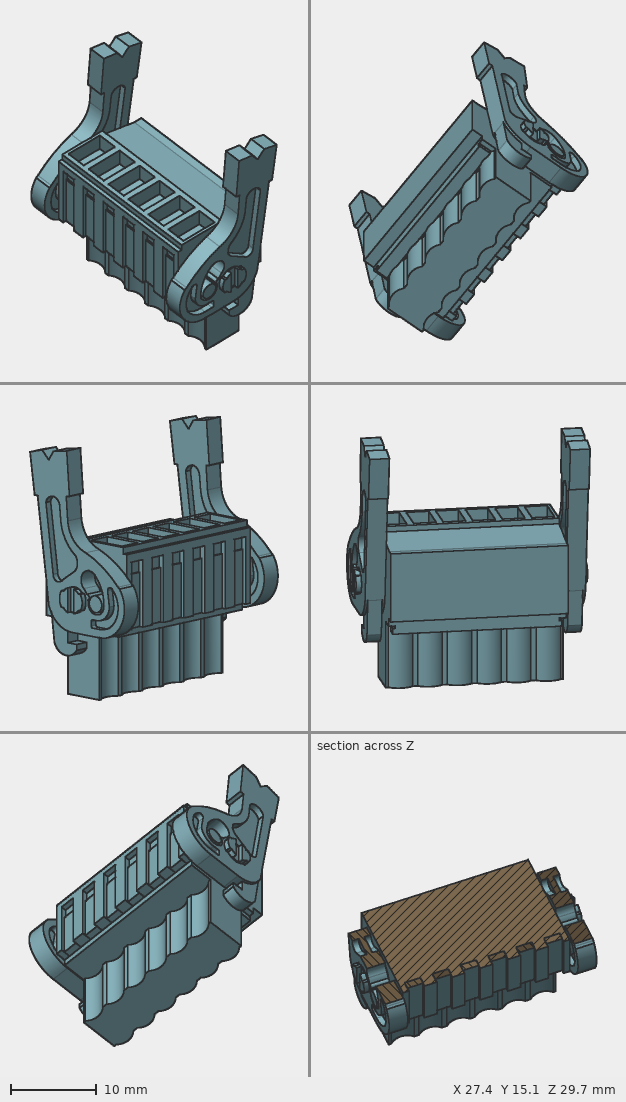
import cadquery as cq
import math


POLES = 6
PITCH = 3.5
POLE_CENTRES = [(i - (POLES - 1) / 2) * PITCH for i in range(POLES)]

WIDTH = POLES * PITCH
HALF_WIDTH = WIDTH / 2
FRONT_Y = -5.94
BACK_Y = 6.94
TOP_Z = 6.64
FRONT_STEP_Y = -5.39
FRONT_STEP_Z = 5.87
RIDGE_Y = 0.88
ROOF_TOP_Z = 5.97
EAVES_Y = 5.85
EAVES_Z = 4.99
SKIRT_DEPTH = 1.31
SKIRT_Y = FRONT_Y + SKIRT_DEPTH
SKIRT_Z = -3.17
BOTTOM_Z = -4.15
BACK_NOTCH_Y = 5.5
BACK_NOTCH_Z = -3.24

RAIL_FRONT_Y = 3.96
RAIL_BOTTOM_Z = -5.13
RAIL_NECK_Z = -4.44
RAIL_INSET = 0.5
RAIL_NECK_INSET = 0.8

PLUG_FRONT_Y = -1.54
PLUG_BACK_Y = 3.5
PLUG_BOTTOM_Z = -12.1
FLUTE_RADIUS = 2.1
FLUTE_CHORD = 2.88
FLUTE_DEPTH = FLUTE_RADIUS - math.sqrt(FLUTE_RADIUS**2 - (FLUTE_CHORD / 2) ** 2)

POCKET_WIDTH = 2.67
POCKET_BACK_Y = 0.1
POCKET_FRONT_Y = -4.75
POCKET_DEPTH = 2.1

SLOT_WIDTH = 1.9
SLOT_TOP_Z = 4.85
WINDOW_DEPTH = 0.65
INSERT_TOP_Z = 3.3
INSERT_RECESS = 0.45

LEVER_INNER_X = 10.7
LEVER_OUTER_X = 13.05
LEVER_THICKNESS = LEVER_OUTER_X - LEVER_INNER_X
FOOT_THICKNESS = 1.7
NOSE_RADIUS = 3.93
NOSE_Y = -4.03
NOSE_TOP_Z = 2.35
HEEL_Y = 0.4
HEEL_ANGLE = 71
FOOT_FRONT_Y = 1.44
HOOK_TIP_Y = 0
HOOK_Z = -5.35
RECESS_DEPTH = 0.8

PIVOT_RADIUS = 1.55
PIVOT_LIP_RADIUS = 1.81
PIVOT_LIP_HALF_HEIGHT = 0.99
PIVOT_END_X = 13.7
PIVOT_SLIT = 1.0
PIN_RADIUS = 1.0
PIN_Y = -3.42
PIN_END_X = 13.15

GUIDE_HALF_WIDTH = 1.27
GUIDE_ANGLE = 48
SNAP_RADIUS = 0.35
SNAP_ANGLE = 17
SNAP_CENTRE = 2.07


def box(x_range, y_range, z_range):
    """A box between two limits on each axis."""
    (x0, x1), (y0, y1), (z0, z1) = x_range, y_range, z_range
    return cq.Workplane("XY").box(x1 - x0, y1 - y0, z1 - z0, centered=False).translate((x0, y0, z0))


def cylinder_x(y, z, radius, x0, x1):
    """A cylinder along X."""
    return cq.Workplane("YZ", origin=(x0, 0, 0)).center(y, z).circle(radius).extrude(x1 - x0)


def on_pivot_circle(radius, angle):
    """A point (Y, Z) around the pivot, the angle measured up from the front."""
    a = math.radians(angle)
    return -radius * math.cos(a), radius * math.sin(a)


def make_block():
    profile = [
        (FRONT_Y, SKIRT_Z),
        (FRONT_Y, FRONT_STEP_Z),
        (FRONT_STEP_Y, FRONT_STEP_Z),
        (FRONT_STEP_Y, TOP_Z),
        (RIDGE_Y, TOP_Z),
        (RIDGE_Y, ROOF_TOP_Z),
        (EAVES_Y, EAVES_Z),
        (BACK_Y, EAVES_Z),
        (BACK_Y, BACK_NOTCH_Z),
        (BACK_NOTCH_Y, BACK_NOTCH_Z),
        (BACK_NOTCH_Y, BOTTOM_Z),
        (SKIRT_Y, BOTTOM_Z),
        (SKIRT_Y, SKIRT_Z),
    ]
    return cq.Workplane("YZ", origin=(-HALF_WIDTH, 0, 0)).polyline(profile).close().extrude(WIDTH)


def make_latch_rail():
    neck_x = HALF_WIDTH - RAIL_NECK_INSET
    rail_x = HALF_WIDTH - RAIL_INSET
    y_range = (RAIL_FRONT_Y, BACK_NOTCH_Y)
    neck = box((-neck_x, neck_x), y_range, (RAIL_NECK_Z, BOTTOM_Z))
    rail = box((-rail_x, rail_x), y_range, (RAIL_BOTTOM_Z, RAIL_NECK_Z))
    return neck.union(rail)


def make_plug():
    """Plug section with concave flutes in front and matching convex ribs behind."""
    outline = cq.Workplane("XY", origin=(0, 0, PLUG_BOTTOM_Z)).moveTo(-HALF_WIDTH, PLUG_FRONT_Y)
    for x in POLE_CENTRES:
        outline = outline.lineTo(x - FLUTE_CHORD / 2, PLUG_FRONT_Y).threePointArc(
            (x, PLUG_FRONT_Y + FLUTE_DEPTH), (x + FLUTE_CHORD / 2, PLUG_FRONT_Y)
        )
    outline = outline.lineTo(HALF_WIDTH, PLUG_FRONT_Y).lineTo(HALF_WIDTH, PLUG_BACK_Y)
    for x in reversed(POLE_CENTRES):
        outline = outline.lineTo(x + FLUTE_CHORD / 2, PLUG_BACK_Y).threePointArc(
            (x, PLUG_BACK_Y + FLUTE_DEPTH), (x - FLUTE_CHORD / 2, PLUG_BACK_Y)
        )
    outline = outline.lineTo(-HALF_WIDTH, PLUG_BACK_Y).close()
    return outline.extrude(BOTTOM_Z - PLUG_BOTTOM_Z)


def make_pole_cuts(x):
    """Wire pocket, front window and insert seat of one pole."""
    pocket_x = (x - POCKET_WIDTH / 2, x + POCKET_WIDTH / 2)
    slot_x = (x - SLOT_WIDTH / 2, x + SLOT_WIDTH / 2)
    pocket = box(pocket_x, (POCKET_FRONT_Y, POCKET_BACK_Y), (TOP_Z - POCKET_DEPTH, TOP_Z))
    window = box(slot_x, (FRONT_Y, FRONT_Y + WINDOW_DEPTH), (INSERT_TOP_Z, SLOT_TOP_Z))
    seat = box(slot_x, (FRONT_Y, SKIRT_Y), (SKIRT_Z, INSERT_TOP_Z))
    return [pocket, window, seat]


def make_pivot():
    """Split pivot stub with side lips beyond the lever, on the +X end."""
    stub = cylinder_x(0, 0, PIVOT_RADIUS, HALF_WIDTH, PIVOT_END_X)
    lip_band = box(
        (LEVER_OUTER_X, PIVOT_END_X),
        (-PIVOT_LIP_RADIUS, PIVOT_LIP_RADIUS),
        (-PIVOT_LIP_HALF_HEIGHT, PIVOT_LIP_HALF_HEIGHT),
    )
    lips = cylinder_x(0, 0, PIVOT_LIP_RADIUS, LEVER_OUTER_X, PIVOT_END_X).intersect(lip_band)
    slit = box(
        (PIN_END_X, PIVOT_END_X),
        (-PIVOT_SLIT / 2, PIVOT_SLIT / 2),
        (-PIVOT_LIP_RADIUS, PIVOT_LIP_RADIUS),
    )
    return stub.union(lips).cut(slit)


def make_housing():
    body = make_block().union(make_latch_rail()).union(make_plug())
    for x in POLE_CENTRES:
        for cut in make_pole_cuts(x):
            body = body.cut(cut)
    end_studs = make_pivot().union(cylinder_x(PIN_Y, 0, PIN_RADIUS, HALF_WIDTH, PIN_END_X))
    return body.union(end_studs).union(end_studs.mirror("YZ"))


def make_insert(x):
    """Plate filling the lower part of one front slot."""
    slot_x = (x - SLOT_WIDTH / 2, x + SLOT_WIDTH / 2)
    return box(slot_x, (FRONT_Y + INSERT_RECESS, SKIRT_Y), (SKIRT_Z, INSERT_TOP_Z))


def lever_plane(x):
    return cq.Workplane("YZ", origin=(x, 0, 0))


def heel_point(angle):
    """A point (Y, Z) on the heel arc, the angle measured from its lowest point."""
    a = math.radians(angle)
    return HEEL_Y + NOSE_RADIUS * math.sin(a), -NOSE_RADIUS * math.cos(a)


def make_lever_plate():
    """Handle with a notched end, flowing into the round nose and heel."""
    heel_mid = heel_point(HEEL_ANGLE / 2)
    heel_join = heel_point(HEEL_ANGLE)
    nose_join = (NOSE_Y - math.sqrt(NOSE_RADIUS**2 - NOSE_TOP_Z**2), NOSE_TOP_Z)
    return (
        lever_plane(LEVER_INNER_X)
        .moveTo(*heel_join)
        .lineTo(5.95, 11.55)
        .lineTo(6.43, 11.57)
        .lineTo(7.16, 16.59)
        .lineTo(5.2, 17.11)
        .lineTo(4.16, 16.08)
        .lineTo(3.41, 17.2)
        .lineTo(1.28, 17.56)
        .lineTo(0.84, 12.2)
        .lineTo(1.35, 12.12)
        .lineTo(1.12, 9.28)
        .threePointArc((-0.03, 6.86), (-1.72, 5.9))
        .threePointArc((-4.45, 4.56), (-6.9, 2.57))
        .lineTo(*nose_join)
        .threePointArc((NOSE_Y - NOSE_RADIUS, 0), (NOSE_Y, -NOSE_RADIUS))
        .lineTo(HEEL_Y, -NOSE_RADIUS)
        .threePointArc(heel_mid, heel_join)
        .close()
        .extrude(LEVER_THICKNESS)
    )


def make_lever_foot():
    """Thinner hooked foot below the heel."""
    inner_x = (LEVER_INNER_X + LEVER_OUTER_X - FOOT_THICKNESS) / 2
    return (
        lever_plane(inner_x)
        .moveTo(FOOT_FRONT_Y, -NOSE_RADIUS / 2)
        .lineTo(FOOT_FRONT_Y, HOOK_Z)
        .lineTo(HOOK_TIP_Y, HOOK_Z)
        .lineTo(HOOK_TIP_Y, -6.06)
        .threePointArc((1.9, -6.9), (3.57, -5.6))
        .lineTo(*heel_point(HEEL_ANGLE))
        .close()
        .extrude(FOOT_THICKNESS)
    )


def make_handle_recess(x):
    """Long blind recess that follows the handle."""
    return (
        lever_plane(x)
        .moveTo(4.6, 10.95)
        .threePointArc((3.5, 11.83), (2.42, 11.0))
        .lineTo(2.2, 8.9)
        .threePointArc((1.5, 7.0), (-0.1, 5.32))
        .threePointArc((-0.44, 4.4), (0, 3.42))
        .lineTo(2.25, 1.9)
        .threePointArc((3.0, 1.85), (3.45, 2.6))
        .close()
        .extrude(RECESS_DEPTH)
    )


def make_crescent_recess(x):
    """Blind recess around the nose, narrowing to its upper end."""
    outer_radius = 2.93
    inner_radius = 1.94
    inner_y = -3.6
    end_y = -2.65
    end_round = 0.25
    diagonal = math.sqrt(0.5)
    return (
        lever_plane(x)
        .moveTo(end_y - end_round, -inner_radius)
        .lineTo(inner_y, -inner_radius)
        .threePointArc(
            (inner_y - inner_radius * diagonal, -inner_radius * diagonal), (inner_y - inner_radius, 0)
        )
        .lineTo(-5.27, 1.9)
        .threePointArc((-5.6, 2.28), (-6.0, 2.14))
        .threePointArc(
            (NOSE_Y - outer_radius * diagonal, -outer_radius * diagonal), (NOSE_Y, -outer_radius)
        )
        .lineTo(end_y - end_round, -outer_radius)
        .threePointArc(
            (end_y - end_round * (1 - diagonal), -outer_radius + end_round * (1 - diagonal)),
            (end_y, -outer_radius + end_round),
        )
        .lineTo(end_y, -inner_radius - end_round)
        .threePointArc(
            (end_y - end_round * (1 - diagonal), -inner_radius - end_round * (1 - diagonal)),
            (end_y - end_round, -inner_radius),
        )
        .close()
        .extrude(RECESS_DEPTH)
    )


def make_guide_slot():
    """Arc slot around the pivot in which the stop pin travels, with a snap bump."""
    outer = -PIN_Y + GUIDE_HALF_WIDTH
    inner = -PIN_Y - GUIDE_HALF_WIDTH
    slot = (
        lever_plane(LEVER_INNER_X)
        .moveTo(-inner, 0)
        .threePointArc(on_pivot_circle(inner, GUIDE_ANGLE / 2), on_pivot_circle(inner, GUIDE_ANGLE))
        .lineTo(*on_pivot_circle(outer, GUIDE_ANGLE))
        .threePointArc(on_pivot_circle(outer, GUIDE_ANGLE / 2), (-outer, 0))
        .close()
        .extrude(LEVER_THICKNESS)
    )
    for end in [(PIN_Y, 0), on_pivot_circle(-PIN_Y, GUIDE_ANGLE)]:
        slot = slot.union(cylinder_x(*end, GUIDE_HALF_WIDTH, LEVER_INNER_X, LEVER_OUTER_X))
    snap_y, snap_z = on_pivot_circle(SNAP_CENTRE, SNAP_ANGLE)
    return slot.cut(cylinder_x(snap_y, snap_z, SNAP_RADIUS, LEVER_INNER_X, LEVER_OUTER_X))


def make_lever(side):
    """Lever at the +X end (side = 1) or the -X end (side = -1)."""
    lever = make_lever_plate().union(make_lever_foot())
    for x in [LEVER_INNER_X, LEVER_OUTER_X - RECESS_DEPTH]:
        lever = lever.cut(make_handle_recess(x)).cut(make_crescent_recess(x))
    lever = lever.cut(make_guide_slot())
    lever = lever.cut(cylinder_x(0, 0, PIVOT_RADIUS, LEVER_INNER_X, LEVER_OUTER_X))
    return lever if side > 0 else lever.mirror("YZ")


housing = make_housing()
inserts = [make_insert(x) for x in POLE_CENTRES]
levers = [make_lever(side) for side in (-1, 1)]

result = cq.Compound.makeCompound(
    [housing.val(), *[insert.val() for insert in inserts], *[lever.val() for lever in levers]]
)